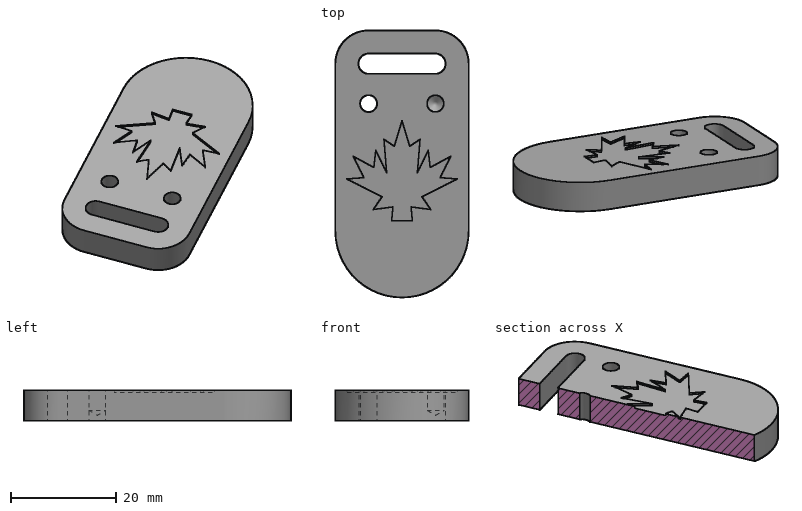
import cadquery as cq
import math

WIDTH = 25.4
LENGTH = 50.8
THICKNESS = 5.84
TOP_CORNER_RADIUS = WIDTH / 4
BOTTOM_END_RADIUS = WIDTH / 2

SLOT_LENGTH = 16.51
SLOT_WIDTH = 3.81
SLOT_CENTER_Y = LENGTH / 2 - TOP_CORNER_RADIUS

HOLE_DIAMETER = 3.175
HOLE_OFFSET_X = WIDTH / 4
HOLE_CENTER_Y = 11.47
BLIND_HOLE_DEPTH = 3.81
DRILL_POINT_ANGLE = 118.0

LEAF_DEPTH = 0.381
LEAF_TIP = (0.0, 8.25)
LEAF_RIGHT_SIDE = [
    (1.47, 3.37),
    (3.43, 4.67),
    (2.92, -1.63),
    (5.00, 2.57),
    (5.35, -0.67),
    (9.28, 1.46),
    (7.24, -2.60),
    (10.50, -2.85),
    (3.80, -6.24),
    (5.46, -8.66),
    (1.73, -8.17),
    (1.96, -10.77),
]


def tag_body():
    """Plate with two rounded corners at +Y and a half-round end at -Y."""
    half_width = WIDTH / 2
    top_y = LENGTH / 2
    corner_center_y = top_y - TOP_CORNER_RADIUS
    end_center_y = BOTTOM_END_RADIUS - LENGTH / 2
    flat_half_width = half_width - TOP_CORNER_RADIUS
    return (
        cq.Workplane("XY")
        .moveTo(-flat_half_width, top_y)
        .lineTo(flat_half_width, top_y)
        .radiusArc((half_width, corner_center_y), TOP_CORNER_RADIUS)
        .lineTo(half_width, end_center_y)
        .threePointArc((0, -LENGTH / 2), (-half_width, end_center_y))
        .lineTo(-half_width, corner_center_y)
        .radiusArc((-flat_half_width, top_y), TOP_CORNER_RADIUS)
        .close()
        .extrude(THICKNESS)
    )


def strap_slot():
    """Cutter for the slot that passes through the plate."""
    return (
        cq.Workplane("XY")
        .center(0, SLOT_CENTER_Y)
        .slot2D(SLOT_LENGTH, SLOT_WIDTH)
        .extrude(THICKNESS)
    )


def through_hole():
    """Cutter for the hole on the -X side."""
    return (
        cq.Workplane("XY")
        .center(-HOLE_OFFSET_X, HOLE_CENTER_Y)
        .circle(HOLE_DIAMETER / 2)
        .extrude(THICKNESS)
    )


def blind_hole():
    """Cutter for the hole on the +X side, with a conical drill point below its full-diameter depth."""
    radius = HOLE_DIAMETER / 2
    point_depth = radius / math.tan(math.radians(DRILL_POINT_ANGLE / 2))
    shoulder_z = THICKNESS - BLIND_HOLE_DEPTH
    profile = (
        cq.Workplane("XZ")
        .moveTo(0, THICKNESS)
        .lineTo(radius, THICKNESS)
        .lineTo(radius, shoulder_z)
        .lineTo(0, shoulder_z - point_depth)
        .close()
    )
    drill = profile.revolve(360, (0, 0, 0), (0, 1, 0))
    return drill.translate((HOLE_OFFSET_X, HOLE_CENTER_Y, 0))


def leaf_recess():
    """Cutter for the shallow maple leaf in the top face."""
    left_side = [(-x, y) for x, y in reversed(LEAF_RIGHT_SIDE)]
    return (
        cq.Workplane("XY")
        .workplane(offset=THICKNESS - LEAF_DEPTH)
        .polyline([LEAF_TIP] + LEAF_RIGHT_SIDE + left_side)
        .close()
        .extrude(LEAF_DEPTH)
    )


result = tag_body().cut(strap_slot()).cut(through_hole()).cut(blind_hole()).cut(leaf_recess())